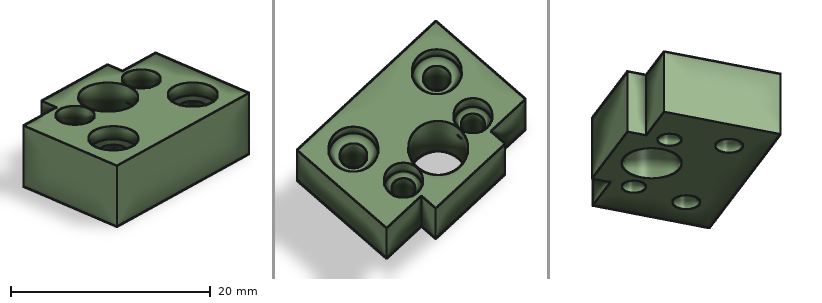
import cadquery as cq

length_y = 20.0
overall_x = 14.5
height = 7.0
tab_depth = 2.0
tab_width = 10.0
body_x = overall_x - tab_depth

bore_x = 4.5
bore_diameter = 6.0
small_screw_y = tab_width / 2
screw_row_spacing = 6.0
large_screw_x = bore_x + screw_row_spacing
large_screw_y = 6.0

small_hole_diameter = 2.4
small_counterbore_diameter = 3.9
small_counterbore_depth = 2.0
large_hole_diameter = 2.75
large_counterbore_diameter = 5.0
large_counterbore_depth = 1.5


def block(x_start, x_size, y_size):
    """Full-height block centred on Y, starting at x_start."""
    solid = cq.Workplane("XY").box(x_size, y_size, height, centered=(False, True, False))
    return solid.translate((x_start, 0, 0))


def top_points(part, points):
    """Put points on the top face, in part coordinates."""
    return part.faces(">Z").workplane(origin=(0, 0, height)).pushPoints(points)


result = block(tab_depth, body_x, length_y).union(block(0, overall_x, tab_width))

result = top_points(result, [(bore_x, 0)]).hole(bore_diameter)

result = top_points(result, [(bore_x, side * small_screw_y) for side in (-1, 1)]).cboreHole(
    small_hole_diameter, small_counterbore_diameter, small_counterbore_depth
)

result = top_points(result, [(large_screw_x, side * large_screw_y) for side in (-1, 1)]).cboreHole(
    large_hole_diameter, large_counterbore_diameter, large_counterbore_depth
)